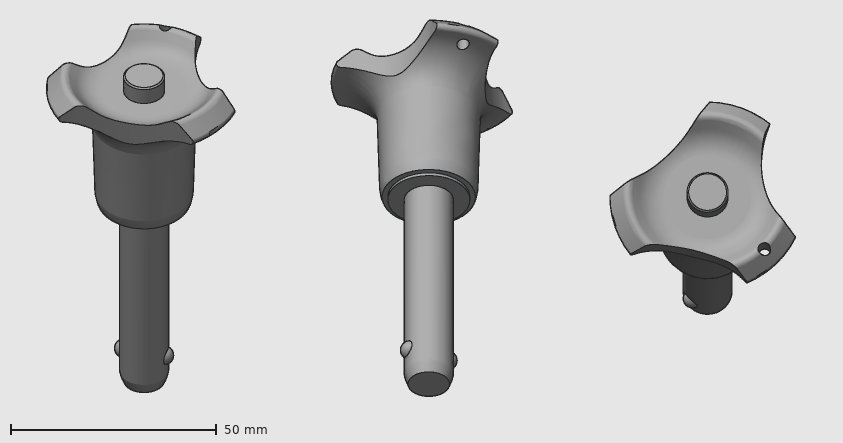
import cadquery as cq
import math


total_height = 95.3
handle_height = 39.7
shank_length = total_height - handle_height

shank_radius = 6.0
tip_radius = 5.05
tip_length = 3.1
tip_bulge_radius = 5.65

ball_radius = 2.3
ball_reach = 7.4
ball_height_above_tip = 8.7

seat_radius = 10.0
seat_height = 0.85
grip_bottom_radius = 11.35
grip_round_middle = (11.8, 2.2)
grip_low_radius = 12.0
grip_low_height = 3.7
grip_top_radius = 12.6
grip_top_height = 25.1

flare_middle_radius = 15.3
flare_middle_height = 30.9
rim_radius = 23.76
rim_under_radius = 22.6
rim_under_height = 34.4
rim_middle_height = 35.3
rim_edge_radius = 23.55
crest_radius = 19.35
crest_round = 1.6
slope = math.radians(45)

floor_height = 35.0
bowl_fillet = 8.0
button_radius = 5.0
button_chamfer = 0.4

side_scallop_radius = 25.0
side_scallop_distance = 39.0
side_scallop_angle = 31.8
front_scallop_distance = 14.15
front_lobe_tip_x = 16.7
front_lobe_tip_y = 16.6

lanyard_hole_diameter = 3.0
lanyard_hole_distance = 19.8


def make_shank():
    """Cylinder below the seat, ending in a tapered, slightly rounded tip."""
    tip_middle = (tip_bulge_radius, tip_length / 2 - shank_length)
    profile = (
        cq.Workplane("XZ")
        .moveTo(0, -shank_length)
        .lineTo(tip_radius, -shank_length)
        .threePointArc(tip_middle, (shank_radius, tip_length - shank_length))
        .lineTo(shank_radius, seat_height)
        .lineTo(0, seat_height)
        .close()
    )
    return profile.revolve(360, (0, 0, 0), (0, 1, 0))


def make_ball(side):
    """Locking ball; side is +1 or -1 along X."""
    center_x = side * (ball_reach - ball_radius)
    center_z = ball_height_above_tip - shank_length
    return cq.Workplane("XY").sphere(ball_radius).translate((center_x, 0, center_z))


def make_handle_blank():
    """Round handle: grip, concave flare, rounded rim, rounded crest and bowl."""
    crest_half_width = crest_round * math.sin(slope)
    crest_edge_height = handle_height - crest_round * (1 - math.cos(slope))
    crest_outer_radius = crest_radius + crest_half_width
    crest_inner_radius = crest_radius - crest_half_width
    rim_edge_height = crest_edge_height - (rim_edge_radius - crest_outer_radius) * math.tan(slope)

    fillet_end_height = floor_height + bowl_fillet * (1 - math.cos(slope))
    fillet_end_radius = crest_inner_radius - (crest_edge_height - fillet_end_height) / math.tan(slope)
    floor_radius = fillet_end_radius - bowl_fillet * math.sin(slope)
    fillet_middle = (
        floor_radius + bowl_fillet * math.sin(slope / 2),
        floor_height + bowl_fillet * (1 - math.cos(slope / 2)),
    )

    profile = (
        cq.Workplane("XZ")
        .lineTo(seat_radius, 0)
        .lineTo(seat_radius, seat_height)
        .lineTo(grip_bottom_radius, seat_height)
        .threePointArc(grip_round_middle, (grip_low_radius, grip_low_height))
        .lineTo(grip_top_radius, grip_top_height)
        .threePointArc((flare_middle_radius, flare_middle_height), (rim_under_radius, rim_under_height))
        .threePointArc((rim_radius, rim_middle_height), (rim_edge_radius, rim_edge_height))
        .lineTo(crest_outer_radius, crest_edge_height)
        .threePointArc((crest_radius, handle_height), (crest_inner_radius, crest_edge_height))
        .lineTo(fillet_end_radius, fillet_end_height)
        .threePointArc(fillet_middle, (floor_radius, floor_height))
        .lineTo(0, floor_height)
        .close()
    )
    return profile.revolve(360, (0, 0, 0), (0, 1, 0))


def make_scallop(radius, distance, angle):
    """Upright cylinder whose axis is at the given distance and angle from Z."""
    center_x = distance * math.cos(math.radians(angle))
    center_y = distance * math.sin(math.radians(angle))
    return cq.Workplane("XY").center(center_x, center_y).circle(radius).extrude(handle_height)


def cut_scallops(handle):
    """Cut two deep side scallops and one shallow scallop on the -Y side."""
    sag = front_lobe_tip_y - front_scallop_distance
    front_scallop_radius = (front_lobe_tip_x**2 + sag**2) / (2 * sag)
    front_center_distance = front_scallop_distance + front_scallop_radius
    for angle in (side_scallop_angle, 180 - side_scallop_angle):
        handle = handle.cut(make_scallop(side_scallop_radius, side_scallop_distance, angle))
    return handle.cut(make_scallop(front_scallop_radius, front_center_distance, -90))


def make_button():
    """Release button standing on the bowl floor, level with the lobe tops."""
    button = cq.Workplane("XY").circle(button_radius).extrude(handle_height)
    return button.faces(">Z").chamfer(button_chamfer)


def make_lanyard_hole():
    """Vertical hole through the rear lobe."""
    hole = cq.Workplane("XY").center(0, lanyard_hole_distance)
    return hole.circle(lanyard_hole_diameter / 2).extrude(handle_height)


handle = cut_scallops(make_handle_blank()).cut(make_lanyard_hole())
result = handle.union(make_button()).union(make_shank())
for ball_side in (-1, 1):
    result = result.union(make_ball(ball_side))